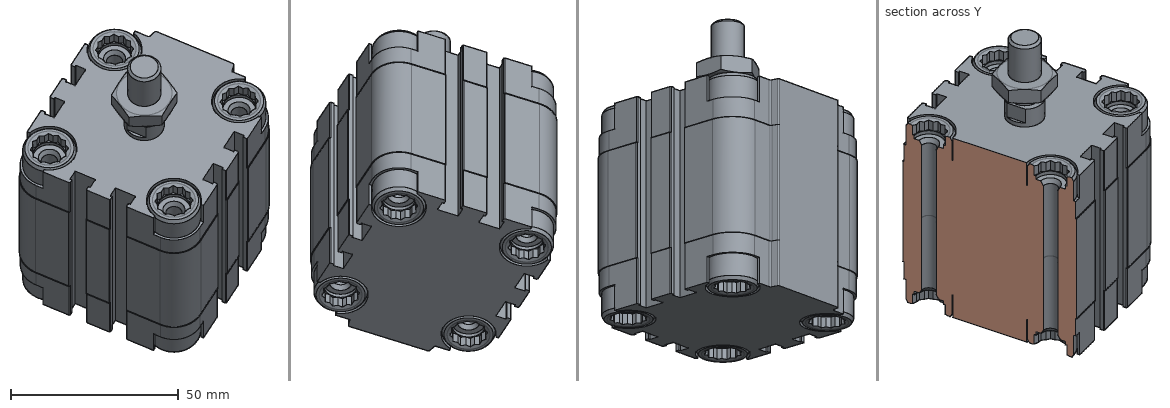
import cadquery as cq
import math

total_height = 94.0
housing_height = 65.5
cap_length = 14.5
barrel_length = housing_height - 2 * cap_length

barrel_half_width = 30.0
cap_half_width = 29.7
corner_offset = 21.0

rail_crest = 32.5
rail_crest_half_width = 13.3
rail_foot_half_width = 13.9
rail_fillet = 0.6

slot_offset = 6.8
slot_floor = 25.0
slot_lip_level = 28.3
slot_half_width = 3.4
slot_neck_half_width = 2.7
slot_lip_chamfer = 0.3

head_diameter = 16.0
head_recess_diameter = 16.4
head_height = 8.2
head_chamfer_width = 0.7
head_chamfer_height = 1.1
corner_cut_reach = 2.35
socket_across_flats = 9.8
socket_depth = 3.7
socket_mouth_diameter = 12.8
socket_mouth_depth = 0.5
relief_diameter = 10.0
relief_depth = 4.9
screw_bore = 4.9
bore_mouth_diameter = 6.6
bore_mouth_depth = 1.5

rod_diameter = 12.0
shank_height = 6.5
flat_height = 5.0
rod_across_flats = 10.15
neck_diameter = 8.4
neck_length = 1.8
thread_diameter = 10.0

nut_across_flats = 17.0
nut_base = 75.8
nut_thickness = 5.3
nut_chamfer_circle = 16.5
nut_chamfer_height = 0.5


def block_section(half_width, base, length):
    """Rounded square with the keyed rail and the T-slots, extruded upward."""
    corner_radius = half_width - corner_offset
    block = (
        cq.Workplane("XY", origin=(0, 0, base))
        .rect(2 * half_width, 2 * half_width)
        .extrude(length)
        .edges("|Z")
        .fillet(corner_radius)
    )
    block = block.union(rail(half_width, base, length))
    foot_edges = cq.selectors.BoxSelector(
        (-rail_foot_half_width - rail_fillet, half_width - rail_fillet / 2, base - 0.9),
        (rail_foot_half_width + rail_fillet, half_width + rail_fillet / 2, base + length + 0.9),
    )
    block = block.edges("|Z").edges(foot_edges).fillet(rail_fillet)
    for face_angle in (-90, 0, 90):
        for offset in (-slot_offset, slot_offset):
            slot = t_slot(half_width, offset, base, length)
            block = block.cut(slot.rotate((0, 0, 0), (0, 0, 1), face_angle))
    return block


def rail(half_width, base, length):
    """Tapered rail on +Y with rounded crest edges."""
    return (
        cq.Workplane("XY", origin=(0, 0, base))
        .moveTo(-rail_foot_half_width, 0)
        .lineTo(-rail_foot_half_width, half_width)
        .lineTo(-rail_crest_half_width, rail_crest)
        .lineTo(rail_crest_half_width, rail_crest)
        .lineTo(rail_foot_half_width, half_width)
        .lineTo(rail_foot_half_width, 0)
        .close()
        .extrude(length)
        .edges("|Z and >Y")
        .fillet(rail_fillet)
    )


def t_slot(face_level, offset, base, length):
    """Cutter for one T-slot in the -Y face, with chamfered lips."""
    mouth_half_width = slot_neck_half_width + slot_lip_chamfer
    half_outline = [
        (slot_half_width, -slot_floor),
        (slot_half_width, -slot_lip_level),
        (slot_neck_half_width, -slot_lip_level),
        (slot_neck_half_width, slot_lip_chamfer - face_level),
        (mouth_half_width, -face_level),
    ]
    mirrored_outline = [(-x, y) for x, y in reversed(half_outline)]
    return (
        cq.Workplane("XY", origin=(offset, 0, base))
        .polyline(half_outline + mirrored_outline)
        .close()
        .extrude(length)
    )


def corner_cut():
    """Cutter around a screw head at the +X +Y corner of the top cap, open to both outer faces."""
    cut_size = 2 * barrel_half_width
    cut_start = -corner_cut_reach
    base = housing_height - head_height
    head_base = cq.Workplane("XY", origin=(corner_offset, corner_offset, base))
    block = (
        head_base
        .moveTo(cut_start, cut_start)
        .rect(cut_size, cut_size, centered=False)
        .extrude(head_height)
    )
    recess = head_base.circle(head_recess_diameter / 2).extrude(head_height)
    head = head_base.circle(head_diameter / 2).extrude(head_height)
    return block.union(recess).cut(head)


def head_chamfer():
    """Ring cutter that bevels the rim of a screw head."""
    head_radius = head_diameter / 2
    return (
        cq.Workplane("XZ", origin=(corner_offset, corner_offset, housing_height))
        .moveTo(head_radius, 0)
        .lineTo(head_radius, -head_chamfer_height)
        .lineTo(head_radius - head_chamfer_width, 0)
        .close()
        .revolve(360, (0, 0), (0, 1))
    )


def screw_socket():
    """Cutter for the twelve-point socket, its relief and half of the bore through the screw."""
    across_corners = socket_across_flats / math.cos(math.radians(30))
    mouth_radius = socket_mouth_diameter / 2
    mouth_base_radius = socket_across_flats / 2
    relief_radius = relief_diameter / 2
    bore_radius = screw_bore / 2
    bore_end = -housing_height / 2
    round_parts = (
        cq.Workplane("XZ")
        .lineTo(mouth_radius, 0)
        .lineTo(mouth_base_radius, -socket_mouth_depth)
        .lineTo(mouth_base_radius, -socket_depth)
        .lineTo(relief_radius, -socket_depth)
        .lineTo(relief_radius, -relief_depth)
        .lineTo(bore_mouth_diameter / 2, -relief_depth)
        .lineTo(bore_radius, -relief_depth - bore_mouth_depth)
        .lineTo(bore_radius, bore_end)
        .lineTo(0, bore_end)
        .close()
        .revolve(360, (0, 0), (0, 1))
    )
    hexagon = cq.Workplane("XY").polygon(6, across_corners).extrude(-socket_depth)
    turned_hexagon = hexagon.rotate((0, 0, 0), (0, 0, 1), 30)
    socket = round_parts.union(hexagon).union(turned_hexagon)
    return socket.translate((corner_offset, corner_offset, housing_height))


def make_housing():
    """Barrel between two end caps, with the same screw heads at both ends."""
    housing = block_section(cap_half_width, 0, cap_length)
    housing = housing.union(block_section(barrel_half_width, cap_length, barrel_length))
    housing = housing.union(block_section(cap_half_width, cap_length + barrel_length, cap_length))
    middle = (0, 0, housing_height / 2)
    for cutter in (corner_cut(), head_chamfer(), screw_socket()):
        for corner_angle in (0, 90, 180, 270):
            top_cutter = cutter.rotate((0, 0, 0), (0, 0, 1), corner_angle)
            housing = housing.cut(top_cutter)
            housing = housing.cut(top_cutter.mirror("XY", middle))
    return housing


def make_rod():
    """Rod end: shank with two wrench flats, undercut neck and plain thread cylinder."""
    end_chamfer = (thread_diameter - neck_diameter) / 2
    shank_top = housing_height + shank_height
    thread_base = shank_top + neck_length
    shank = (
        cq.Workplane("XY", origin=(0, 0, housing_height))
        .circle(rod_diameter / 2)
        .extrude(shank_height)
    )
    flat_cut_depth = (rod_diameter - rod_across_flats) / 2
    flat_centre = (rod_across_flats + flat_cut_depth) / 2
    flat_cuts = (
        cq.Workplane("XY", origin=(0, 0, shank_top))
        .pushPoints([(0, -flat_centre), (0, flat_centre)])
        .rect(rod_diameter, flat_cut_depth)
        .extrude(-flat_height)
    )
    neck = (
        cq.Workplane("XY", origin=(0, 0, shank_top))
        .circle(neck_diameter / 2)
        .extrude(neck_length)
    )
    thread = (
        cq.Workplane("XY", origin=(0, 0, thread_base))
        .circle(thread_diameter / 2)
        .extrude(total_height - thread_base)
        .faces("<Z or >Z")
        .chamfer(end_chamfer)
    )
    return shank.cut(flat_cuts).union(neck).union(thread)


def make_nut():
    """Hexagon nut with two corners on the Y axis, bevelled at both faces."""
    across_corners = nut_across_flats / math.cos(math.radians(30))
    hexagon = (
        cq.Workplane("XY", origin=(0, 0, nut_base))
        .polygon(6, across_corners)
        .extrude(nut_thickness)
        .rotate((0, 0, 0), (0, 0, 1), 90)
    )
    face_radius = nut_chamfer_circle / 2
    corner_radius = across_corners / 2
    bevel_envelope = (
        cq.Workplane("XZ", origin=(0, 0, nut_base))
        .lineTo(face_radius, 0)
        .lineTo(corner_radius, nut_chamfer_height)
        .lineTo(corner_radius, nut_thickness - nut_chamfer_height)
        .lineTo(face_radius, nut_thickness)
        .lineTo(0, nut_thickness)
        .close()
        .revolve(360, (0, 0), (0, 1))
    )
    bore = (
        cq.Workplane("XY", origin=(0, 0, nut_base))
        .circle(thread_diameter / 2)
        .extrude(nut_thickness)
    )
    return hexagon.intersect(bevel_envelope).cut(bore)


housing = make_housing()
rod = make_rod()
nut = make_nut()

result = cq.Compound.makeCompound([housing.val(), rod.val(), nut.val()])